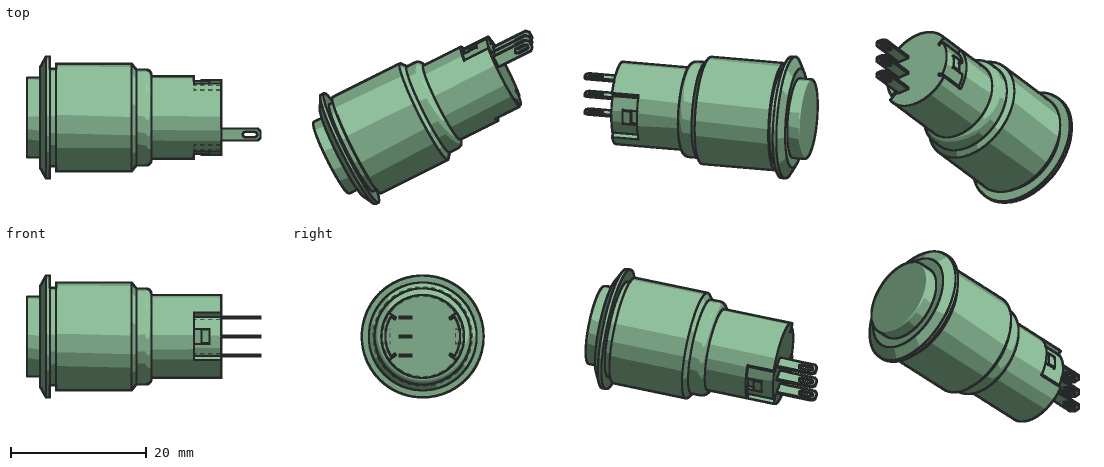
import cadquery as cq
import math

flange_front = 1.9
flange_rim_start = 2.82
flange_back = 3.37
barrel_start = 4.3
barrel_taper_start = 15.4
collar_start = 16.1
collar_end = 18.37
recess_start = 24.6
housing_end = 28.62
overall_length = 34.4

button_diameter = 11.8
flange_face_diameter = 14.65
flange_diameter = 18.0
neck_diameter = 14.38
barrel_diameter = 15.9
collar_diameter = 14.17
housing_diameter = 12.2
button_edge_fillet = 0.2
collar_fillet = 0.93

recess_mouth_width = 7.0
panel_diameter = 11
panel_width = 5.78
groove_floor_diameter = 9.63
recess_half_angle = math.asin(recess_mouth_width / housing_diameter)
panel_half_angle = math.asin(panel_width / panel_diameter)

window_width = 2.15
window_length = 2.3
tooth_width = 2.0
tooth_length = 1.2

terminal_pitch = 2.8
terminal_count = 3
terminal_y = -2.5
terminal_width = 1.8
terminal_thickness = 0.3
terminal_corner = 0.4
terminal_length = overall_length - housing_end
eyelet_length = 2.1
eyelet_width = 0.75
eyelet_end_gap = 0.5


def make_body():
    """Revolve the stepped body about the X axis and round the button edge."""
    sections = [
        (0, button_diameter),
        (flange_front, button_diameter),
        (flange_front, flange_face_diameter),
        (flange_rim_start, flange_diameter),
        (flange_back, flange_diameter),
        (flange_back, neck_diameter),
        (barrel_start, neck_diameter),
        (barrel_start, barrel_diameter),
        (barrel_taper_start, barrel_diameter),
        (collar_start, collar_diameter),
        (collar_end - collar_fillet, collar_diameter),
    ]
    outline = [(x, diameter / 2) for x, diameter in sections]
    profile = (
        cq.Workplane("XY")
        .polyline([(0, 0)] + outline)
        .tangentArcPoint((collar_end, collar_diameter / 2 - collar_fillet), relative=False)
        .lineTo(collar_end, housing_diameter / 2)
        .lineTo(housing_end, housing_diameter / 2)
        .lineTo(housing_end, 0)
        .close()
    )
    body = profile.revolve(360, (0, 0, 0), (1, 0, 0))
    return body.faces("<X").edges().fillet(button_edge_fillet)


def make_sector(radius, half_angle):
    """Pie-shaped bar centred on +Y, from the recess shoulder to the housing end."""
    side_y = radius * math.cos(half_angle)
    side_z = radius * math.sin(half_angle)
    return (
        cq.Workplane("YZ", origin=(recess_start, 0, 0))
        .lineTo(side_y, side_z)
        .threePointArc((radius, 0), (side_y, -side_z))
        .close()
        .extrude(housing_end - recess_start)
    )


def make_recess():
    """Cutter for the recess on the +Y side, leaving the panel between its two grooves."""
    opening = make_sector(flange_diameter / 2, recess_half_angle)
    panel = make_sector(panel_diameter / 2, panel_half_angle)
    core = make_sector(groove_floor_diameter / 2, recess_half_angle)
    return opening.cut(panel).cut(core)


def make_latch_block(end_x, length, width, top_y):
    """Block on the +Y side that rises from the groove floor level and ends at end_x."""
    bottom_y = groove_floor_diameter / 2
    return (
        cq.Workplane("XY")
        .box(length, top_y - bottom_y, width, centered=(False, False, True))
        .translate((end_x - length, bottom_y, 0))
    )


def make_terminal(z):
    """Flat solder tag with cut corners and an eyelet near its tip."""
    blade = (
        cq.Workplane("XY")
        .box(terminal_length, terminal_width, terminal_thickness, centered=(False, True, True))
        .edges("|Z and >X")
        .chamfer(terminal_corner)
    )
    eyelet_x = terminal_length - eyelet_end_gap - eyelet_length / 2
    eyelet = (
        cq.Workplane("XY")
        .center(eyelet_x, 0)
        .slot2D(eyelet_length, eyelet_width)
        .extrude(terminal_thickness, both=True)
    )
    return blade.cut(eyelet).translate((housing_end, terminal_y, z))


latch_end = recess_start + window_length
window = make_latch_block(latch_end, window_length, window_width, housing_diameter / 2)
tooth = make_latch_block(latch_end, tooth_length, tooth_width, panel_diameter / 2)
recess = make_recess().union(window).cut(tooth)

result = make_body()
for side_angle in (0, 180):
    result = result.cut(recess.rotate((0, 0, 0), (1, 0, 0), side_angle))

for index in range(terminal_count):
    terminal_z = (index - (terminal_count - 1) / 2) * terminal_pitch
    result = result.union(make_terminal(terminal_z))